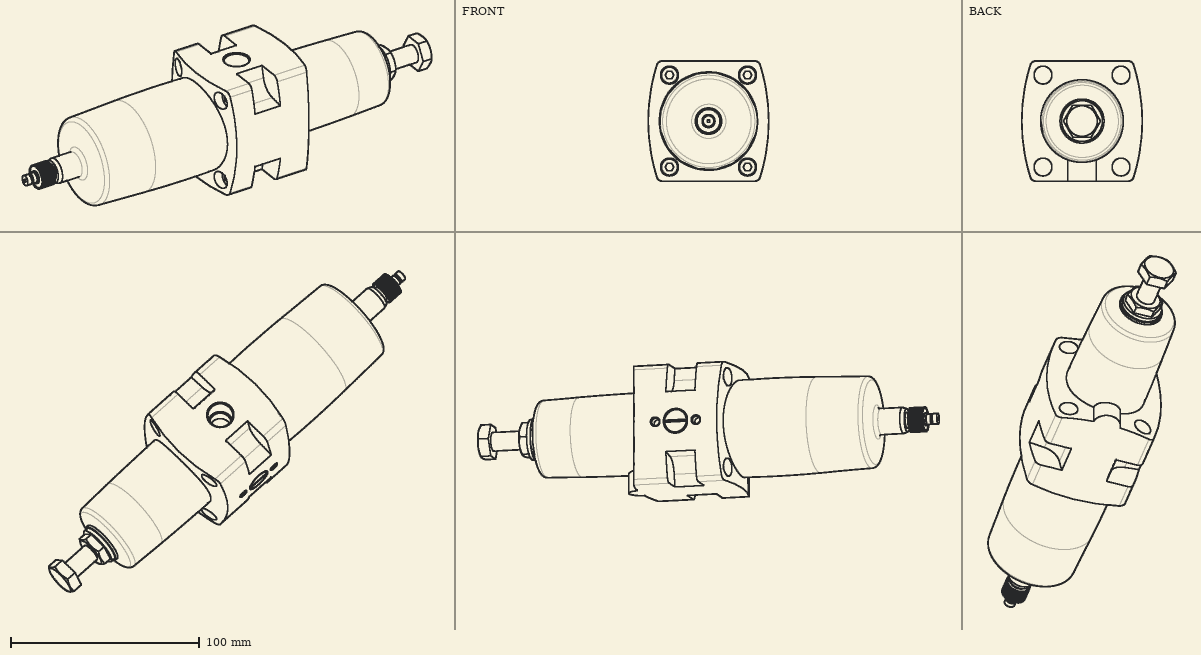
import cadquery as cq
import math


BLOCK_WIDTH = 64.0
BLOCK_HEIGHT = 64.0
BLOCK_LENGTH = 56.0
BULGE_RADIUS = 100.0
BLOCK_CORNER_RADIUS = 3.4

SLOT_LENGTH = 16.0
SLOT_Y = -2.4
SLOT_FLOOR_ANGLE = 7.5
SLOT_WALL_X = 12.5
SLOT_FLOOR_CURVE_X, SLOT_FLOOR_CURVE_Z = 22.4, 17.3
SLOT_WALL_CURVE_X, SLOT_WALL_CURVE_Z = 14.0, 25.3

PORT_Y = SLOT_Y
PORT_MOUTH_DIAMETER = 14.4
PORT_THREAD_DIAMETER = 13.16
PORT_THREAD_DEPTH = 12.0
PORT_BORE_DIAMETER = 11.45
PORT_DEPTH = 20.0

PLUG_SEAT_DIAMETER = 13.16
PLUG_DIAMETER = 12.2
PLUG_GROOVE_DEPTH = 1.0
PLUG_SLOT_WIDTH = 1.0
PLUG_SLOT_DEPTH = 1.0
SIDE_HOLE_MOUTH_DIAMETER = 4.95
SIDE_HOLE_MOUTH_DEPTH = 0.7
SIDE_HOLE_DIAMETER = 4.13
SIDE_HOLE_SPACING = 22.4
SIDE_HOLE_DEPTH = 6.0
DRILL_POINT_ANGLE = 118.0

VENT_RADIUS = 7.5
VENT_END_Y = 34.3

BONNET_ROOT_RADIUS, BONNET_ROOT_Y = 22.0, 18.0
BONNET_FLANK_RADIUS, BONNET_FLANK_Y = 21.8, 40.0
BONNET_BEND_RADIUS, BONNET_BEND_Y = 21.3, 61.0
BONNET_RIM_RADIUS, BONNET_RIM_Y = 20.6, 80.1
BONNET_CONE_RADIUS, BONNET_CONE_Y = 19.2, 82.2
COLLAR_BASE_RADIUS, COLLAR_BASE_Y = 11.7, 84.2
COLLAR_RADIUS, COLLAR_STEP_Y = 10.8, 85.6
COLLAR_TOP_Y = 87.8

BOWL_ROOT_RADIUS, BOWL_ROOT_Y = 25.5, -18.0
BOWL_FLANK_RADIUS, BOWL_FLANK_Y = 26.1, -44.0
BOWL_BEND_RADIUS, BOWL_BEND_Y = 25.6, -70.0
BOWL_RIM_RADIUS, BOWL_RIM_Y = 24.5, -98.3
BOWL_END_RADIUS, BOWL_END_Y = 22.5, -100.3
DRAIN_BOSS_RADIUS, DRAIN_BOSS_Y = 7.0, -104.4
DRAIN_FLARE_RADIUS = 2.1
DRAIN_BOSS_ROUND_Y, DRAIN_BOSS_END_Y = -116.6, -118.8
DRAIN_BOSS_END_RADIUS = 6.2
DRAIN_NECK_DIAMETER = 8.64
KNOB_DIAMETER = 13.16
KNOB_TOP_Y, KNOB_END_Y = -120.8, -129.0
KNOB_TEETH = 48
KNOB_TOOTH_DEPTH = 0.5
SPOUT_COLLAR_DIAMETER, SPOUT_COLLAR_END_Y = 6.9, -130.0
SPOUT_DIAMETER = 5.7
SPOUT_GROOVE_DIAMETER = 4.13
SPOUT_GROOVE_TOP_Y, SPOUT_GROOVE_END_Y = -132.2, -133.2
SPOUT_END_Y = -135.8
DRAIN_BORE_DIAMETER = 1.5
DRAIN_BORE_DEPTH = 10.0

HEX_ACROSS_FLATS = 17.0
HEX_CHAMFER_DIAMETER = 16.2
HEX_CHAMFER_ANGLE = 30.0
SCREW_DIAMETER = 10.0
NUT_THICKNESS = 5.0
HEAD_THICKNESS = 6.4
SCREW_TOP_Y = 115.5

CAP_X = 20.7
CAP_Z = 24.4
CAP_SEAT_Y = -17.0
CAP_HEAD_DIAMETER = 8.5
CAP_HEAD_HEIGHT = 5.0
CAP_SHANK_DIAMETER = 5.0
CAP_SHANK_LENGTH = 5.0
CAP_SOCKET_FLATS = 4.0
CAP_SOCKET_DEPTH = 2.5
COUNTERBORE_DIAMETER = 9.5


def rod(x, z, start_y, end_y, diameter):
    """Cylinder along Y between two Y positions."""
    base = cq.Workplane("XZ", origin=(x, start_y, z))
    return base.circle(diameter / 2).extrude(start_y - end_y)


def hexagon(x, z, start_y, end_y, across_flats):
    """Hexagonal prism along Y with its flats facing up and down."""
    base = cq.Workplane("XZ", origin=(x, start_y, z))
    return base.polygon(6, across_flats / math.cos(math.pi / 6)).extrude(start_y - end_y)


def bulged_outline(plane, half_bulged, half_straight):
    """Rectangle whose two sides across its first axis are bulged arcs."""
    sag = BULGE_RADIUS - math.sqrt(BULGE_RADIUS**2 - half_straight**2)
    corner = half_bulged - sag
    return (
        cq.Workplane(plane)
        .moveTo(-corner, -half_straight)
        .lineTo(corner, -half_straight)
        .threePointArc((half_bulged, 0), (corner, half_straight))
        .lineTo(-corner, half_straight)
        .threePointArc((-half_bulged, 0), (-corner, -half_straight))
        .close()
    )


def make_block():
    front = bulged_outline("XZ", BLOCK_WIDTH / 2, BLOCK_HEIGHT / 2)
    block = front.extrude(BLOCK_LENGTH / 2, both=True)
    block = block.edges("|Y").fillet(BLOCK_CORNER_RADIUS)
    plan = bulged_outline("YX", BLOCK_LENGTH / 2, BLOCK_WIDTH / 2)
    return block.intersect(plan.extrude(BLOCK_HEIGHT, both=True))


def slot_cutter(side_x, side_z):
    """Clamp slot: sloping floor, concave curve and drafted wall, open to the side and top."""
    outer_x = BLOCK_WIDTH / 2
    outer_z = BLOCK_HEIGHT / 2
    floor_fall = (outer_x - SLOT_FLOOR_CURVE_X) * math.tan(math.radians(SLOT_FLOOR_ANGLE))
    return (
        cq.Workplane("XZ", origin=(0, SLOT_Y, 0))
        .moveTo(side_x * outer_x, side_z * (SLOT_FLOOR_CURVE_Z - floor_fall))
        .lineTo(side_x * SLOT_FLOOR_CURVE_X, side_z * SLOT_FLOOR_CURVE_Z)
        .tangentArcPoint((side_x * SLOT_WALL_CURVE_X, side_z * SLOT_WALL_CURVE_Z), relative=False)
        .lineTo(side_x * SLOT_WALL_X, side_z * outer_z)
        .lineTo(side_x * outer_x, side_z * outer_z)
        .close()
        .extrude(SLOT_LENGTH / 2, both=True)
    )


def port_cutter():
    """Threaded port: 45 degree mouth, thread bore and smaller bottom bore."""
    top_z = BLOCK_HEIGHT / 2
    mouth_depth = (PORT_MOUTH_DIAMETER - PORT_THREAD_DIAMETER) / 2
    return (
        cq.Workplane("XZ", origin=(0, PORT_Y, 0))
        .moveTo(0, top_z)
        .lineTo(PORT_MOUTH_DIAMETER / 2, top_z)
        .lineTo(PORT_THREAD_DIAMETER / 2, top_z - mouth_depth)
        .lineTo(PORT_THREAD_DIAMETER / 2, top_z - PORT_THREAD_DEPTH)
        .lineTo(PORT_BORE_DIAMETER / 2, top_z - PORT_THREAD_DEPTH)
        .lineTo(PORT_BORE_DIAMETER / 2, top_z - PORT_DEPTH)
        .lineTo(0, top_z - PORT_DEPTH)
        .close()
        .revolve(360, (0, 0, 0), (0, 1, 0))
    )


def plug_groove_cutter():
    """Ring groove that sets off the gauge plug in the -X side."""
    side = cq.Workplane("YZ", origin=(-BLOCK_WIDTH / 2, 0, 0))
    return side.circle(PLUG_SEAT_DIAMETER / 2).circle(PLUG_DIAMETER / 2).extrude(PLUG_GROOVE_DEPTH)


def side_hole_cutter(y):
    """Blind hole in the -X side with a countersunk mouth and a drill point."""
    face_x = -BLOCK_WIDTH / 2
    radius = SIDE_HOLE_DIAMETER / 2
    mouth_radius = SIDE_HOLE_MOUTH_DIAMETER / 2
    point_x = face_x + SIDE_HOLE_DEPTH + radius * math.tan(math.radians(90 - DRILL_POINT_ANGLE / 2))
    return (
        cq.Workplane("XY", origin=(0, y, 0))
        .moveTo(face_x, 0)
        .lineTo(face_x, mouth_radius)
        .lineTo(face_x + SIDE_HOLE_MOUTH_DEPTH, mouth_radius)
        .lineTo(face_x + SIDE_HOLE_MOUTH_DEPTH + mouth_radius - radius, radius)
        .lineTo(face_x + SIDE_HOLE_DEPTH, radius)
        .lineTo(point_x, 0)
        .close()
        .revolve(360, (0, 0, 0), (1, 0, 0))
    )


def plug_slot_cutter():
    side = cq.Workplane("YZ", origin=(-BLOCK_WIDTH / 2, 0, 0))
    return side.rect(PLUG_DIAMETER, PLUG_SLOT_WIDTH).extrude(PLUG_SLOT_DEPTH)


def make_bonnet():
    return (
        cq.Workplane("XY")
        .moveTo(0, BONNET_ROOT_Y)
        .lineTo(BONNET_ROOT_RADIUS, BONNET_ROOT_Y)
        .threePointArc((BONNET_FLANK_RADIUS, BONNET_FLANK_Y), (BONNET_BEND_RADIUS, BONNET_BEND_Y))
        .lineTo(BONNET_RIM_RADIUS, BONNET_RIM_Y)
        .tangentArcPoint((BONNET_CONE_RADIUS, BONNET_CONE_Y), relative=False)
        .lineTo(COLLAR_BASE_RADIUS, COLLAR_BASE_Y)
        .lineTo(COLLAR_BASE_RADIUS, COLLAR_STEP_Y)
        .lineTo(COLLAR_RADIUS, COLLAR_STEP_Y)
        .lineTo(COLLAR_RADIUS, COLLAR_TOP_Y)
        .lineTo(0, COLLAR_TOP_Y)
        .close()
        .revolve(360, (0, 0, 0), (0, 1, 0))
    )


def make_vent_boss():
    """Round boss on the underside, from the bottom face up into the bonnet."""
    base = cq.Workplane("XY", origin=(0, VENT_END_Y - VENT_RADIUS, -BLOCK_HEIGHT / 2))
    return base.circle(VENT_RADIUS).extrude(BLOCK_HEIGHT / 2)


def make_bowl():
    """Filter bowl with the drain boss on its end."""
    flare_x = DRAIN_BOSS_RADIUS + DRAIN_FLARE_RADIUS
    diagonal = DRAIN_FLARE_RADIUS / math.sqrt(2)
    flare_middle = (flare_x - diagonal, DRAIN_BOSS_Y + diagonal)
    return (
        cq.Workplane("XY")
        .moveTo(0, BOWL_ROOT_Y)
        .lineTo(BOWL_ROOT_RADIUS, BOWL_ROOT_Y)
        .threePointArc((BOWL_FLANK_RADIUS, BOWL_FLANK_Y), (BOWL_BEND_RADIUS, BOWL_BEND_Y))
        .lineTo(BOWL_RIM_RADIUS, BOWL_RIM_Y)
        .tangentArcPoint((BOWL_END_RADIUS, BOWL_END_Y), relative=False)
        .lineTo(flare_x, DRAIN_BOSS_Y + DRAIN_FLARE_RADIUS)
        .threePointArc(flare_middle, (DRAIN_BOSS_RADIUS, DRAIN_BOSS_Y))
        .lineTo(DRAIN_BOSS_RADIUS, DRAIN_BOSS_ROUND_Y)
        .lineTo(DRAIN_BOSS_END_RADIUS, DRAIN_BOSS_END_Y)
        .lineTo(0, DRAIN_BOSS_END_Y)
        .close()
        .revolve(360, (0, 0, 0), (0, 1, 0))
    )


def make_drain():
    """Neck, knurled knob and grooved outlet spout of the drain, in one piece with the bowl."""
    neck = rod(0, 0, DRAIN_BOSS_END_Y, KNOB_TOP_Y, DRAIN_NECK_DIAMETER)
    points = []
    for step in range(2 * KNOB_TEETH):
        radius = KNOB_DIAMETER / 2 - KNOB_TOOTH_DEPTH * (step % 2)
        angle = math.pi * step / KNOB_TEETH
        points.append((radius * math.cos(angle), radius * math.sin(angle)))
    face = cq.Workplane("XZ", origin=(0, KNOB_TOP_Y, 0))
    knob = face.polyline(points).close().extrude(KNOB_TOP_Y - KNOB_END_Y)
    collar = rod(0, 0, KNOB_END_Y, SPOUT_COLLAR_END_Y, SPOUT_COLLAR_DIAMETER)
    spout = rod(0, 0, SPOUT_COLLAR_END_Y, SPOUT_GROOVE_TOP_Y, SPOUT_DIAMETER)
    groove = rod(0, 0, SPOUT_GROOVE_TOP_Y, SPOUT_GROOVE_END_Y, SPOUT_GROOVE_DIAMETER)
    tip = rod(0, 0, SPOUT_GROOVE_END_Y, SPOUT_END_Y, SPOUT_DIAMETER)
    drain = neck.union(knob).union(collar).union(spout).union(groove).union(tip)
    return drain.cut(rod(0, 0, SPOUT_END_Y + DRAIN_BORE_DEPTH, SPOUT_END_Y, DRAIN_BORE_DIAMETER))


def make_housing():
    """Block, bonnet, vent boss, bowl and drain with all their cuts."""
    housing = make_block().union(make_bonnet()).union(make_vent_boss())
    corners = [(side_x, side_z) for side_x in (-1, 1) for side_z in (-1, 1)]
    for side_x, side_z in corners:
        housing = housing.cut(slot_cutter(side_x, side_z))
    housing = housing.cut(port_cutter())
    housing = housing.cut(plug_groove_cutter())
    housing = housing.cut(plug_slot_cutter())
    for side in (-1, 1):
        housing = housing.cut(side_hole_cutter(side * SIDE_HOLE_SPACING / 2))
    for side_x, side_z in corners:
        x = side_x * CAP_X
        z = side_z * CAP_Z
        for end in (-1, 1):
            seat_y = -end * CAP_SEAT_Y
            housing = housing.cut(rod(x, z, seat_y, end * BLOCK_LENGTH, COUNTERBORE_DIAMETER))
        housing = housing.cut(rod(x, z, CAP_SEAT_Y + CAP_SHANK_LENGTH, CAP_SEAT_Y, CAP_SHANK_DIAMETER))
    return housing.union(make_bowl()).union(make_drain())


def chamfered_hexagon(top_y, base_y):
    """Bolt head or nut whose corners are chamfered on the +Y end."""
    corner_radius = HEX_ACROSS_FLATS / math.sqrt(3)
    end_radius = HEX_CHAMFER_DIAMETER / 2
    chamfer_height = (corner_radius - end_radius) * math.tan(math.radians(HEX_CHAMFER_ANGLE))
    turned = (
        cq.Workplane("XY")
        .moveTo(0, base_y)
        .lineTo(corner_radius, base_y)
        .lineTo(corner_radius, top_y - chamfer_height)
        .lineTo(end_radius, top_y)
        .lineTo(0, top_y)
        .close()
        .revolve(360, (0, 0, 0), (0, 1, 0))
    )
    return hexagon(0, 0, top_y, base_y, HEX_ACROSS_FLATS).intersect(turned)


def make_adjusting_screw():
    """Hexagon head, shank and lock nut, seated on the bonnet collar."""
    nut_top_y = COLLAR_TOP_Y + NUT_THICKNESS
    head_y = SCREW_TOP_Y - HEAD_THICKNESS
    nut = chamfered_hexagon(nut_top_y, COLLAR_TOP_Y)
    shank = rod(0, 0, head_y, nut_top_y, SCREW_DIAMETER)
    head = chamfered_hexagon(SCREW_TOP_Y, head_y)
    return nut.union(shank).union(head)


def make_cap_screw(x, z):
    """Socket head cap screw, its head resting on the counterbore floor."""
    head_end_y = CAP_SEAT_Y - CAP_HEAD_HEIGHT
    head = rod(x, z, CAP_SEAT_Y, head_end_y, CAP_HEAD_DIAMETER)
    shank = rod(x, z, CAP_SEAT_Y + CAP_SHANK_LENGTH, CAP_SEAT_Y, CAP_SHANK_DIAMETER)
    socket = hexagon(x, z, head_end_y + CAP_SOCKET_DEPTH, head_end_y, CAP_SOCKET_FLATS)
    return head.union(shank).cut(socket)


housing = make_housing()
adjusting_screw = make_adjusting_screw()
cap_screws = []
for side_x in (-1, 1):
    for side_z in (-1, 1):
        cap_screws.append(make_cap_screw(side_x * CAP_X, side_z * CAP_Z).val())

result = cq.Compound.makeCompound([housing.val(), adjusting_screw.val(), *cap_screws])